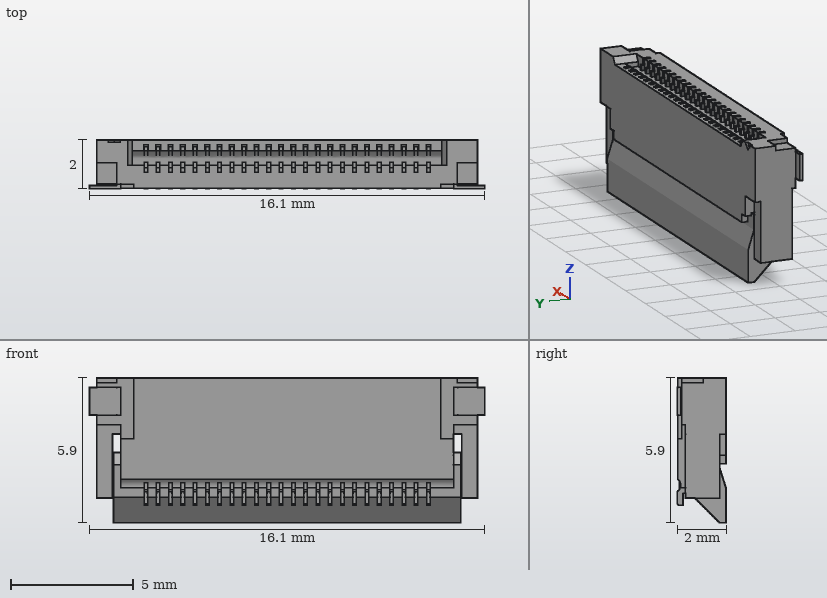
import cadquery as cq


housing_width = 15.5
core_width = 13.55
panel_width = 12.5
back_y = 2.0
panel_y = 0.024
shoulder_y = 0.2
wall_back_y = 0.48
panel_depth = 4.46
core_depth = 3.5
core_step_depth = 3.14
core_step_width = 12.88
shoulder_depth = 2.48
panel_end_depth = 4.12
hollow_middle = (0.137, 4.3)
hollow_bottom_y = 0.15

block_depth = 2.29
block_front_depth = 1.9
arm_inner_x = 7.1
arm_front_y = 0.34
arm_back_y = 1.74
arm_depth = 4.9
corner_notch_width = 0.82
corner_notch_back_y = 1.06
corner_notch_depth = 0.2

mark_x = -7.04
mark_width = 0.48
mark_depth = 0.24
mark_length = 0.1

mouth_width = 12.59
mouth_front_y = 0.97
mouth_bevel = 0.2
rim_depth = 0.29
rim_front_y = 1.55
mouth_floor_depth = 0.48
lead_in_end = (1.34, 0.47)

tab_span = 16.1
tab_width = 1.27
tab_thickness = 0.15
tab_top = 0.39
tab_bottom = 1.51
tab_stem_width = 0.16

flap_width = 14.14
flap_front_y = 0.68
flap_top_front_y = 1.19
flap_tip_y = 1.72
flap_top_depth = 3.03
flap_front_top = 3.55
flap_front_bottom = 4.85
flap_back_top = 3.67
flap_back_bottom = 4.49
flap_tip_depth = 5.9

contact_count = 24
contact_span = 11.5
contact_pitch = contact_span / (contact_count - 1)
contact_width = 0.15
contact_cell_width = 0.2
front_cell_y = 0.68
front_contact_y = 0.87
front_contact_back_y = 1.08
cell_depth = 0.47
contact_root_depth = 0.63
front_contact_depth = 0.25
rear_contact_y = 1.35
rear_contact_back_y = 1.72
rear_cell_back_y = 1.8
rear_contact_depth = 0.27

leg_top = 4.27
leg_underside = 4.7
leg_bottom = 5.18
leg_neck_y = 0.1
foot_back_y = 0.24
foot_bevel_top = 4.54
foot_bevel_bottom = 4.62
foot_chamfer = 0.06


def block(x_range, y_range, depth_range):
    """Box between two X values, two Y values and two depths."""
    (x0, x1), (y0, y1), (top, bottom) = x_range, y_range, depth_range
    return cq.Workplane("XY").box(x1 - x0, y1 - y0, bottom - top, centered=False).translate((x0, y0, -bottom))


def centered_block(width, y_range, depth_range, x=0):
    return block((x - width / 2, x + width / 2), y_range, depth_range)


def side_prism(points, width, x=0):
    """Extrude a (Y, depth) outline along X, centred on x."""
    outline = [(y, -depth) for y, depth in points]
    return cq.Workplane("YZ", origin=(x - width / 2, 0, 0)).polyline(outline).close().extrude(width)


def both_sides(solid):
    return solid.union(solid.mirror("YZ"))


def make_core():
    core = centered_block(core_width, (shoulder_y, back_y), (0, core_depth))
    front_wall = (
        cq.Workplane("YZ", origin=(-core_width / 2, 0, 0))
        .moveTo(wall_back_y, 0)
        .lineTo(panel_y, 0)
        .lineTo(panel_y, -panel_end_depth)
        .threePointArc((hollow_middle[0], -hollow_middle[1]), (hollow_bottom_y, -panel_depth))
        .lineTo(wall_back_y, -panel_depth)
        .close()
        .extrude(core_width)
    )
    step = both_sides(
        block((core_step_width / 2, core_width / 2), (wall_back_y, back_y), (core_step_depth, core_depth))
    )
    recess = both_sides(block((panel_width / 2, core_width / 2), (0, shoulder_y), (0, shoulder_depth)))
    return core.union(front_wall).cut(recess).cut(step)


def make_sides():
    outer_x = housing_width / 2
    upper = block((core_width / 2, outer_x), (shoulder_y, back_y), (0, block_depth))
    lower_step = block((core_width / 2, outer_x), (shoulder_y, arm_front_y), (block_front_depth, block_depth))
    arm = block((arm_inner_x, outer_x), (arm_front_y, arm_back_y), (0, arm_depth))
    notch = block(
        (outer_x - corner_notch_width, outer_x),
        (0, corner_notch_back_y),
        (0, corner_notch_depth),
    )
    return both_sides(upper.cut(lower_step).union(arm).cut(notch))


def make_tabs():
    tab_inner_x = tab_span / 2 - tab_width
    tab = block((tab_inner_x, tab_span / 2), (0, tab_thickness), (tab_top, tab_bottom))
    stem = block((tab_inner_x, tab_inner_x + tab_stem_width), (0, arm_front_y), (tab_top, tab_bottom))
    return both_sides(tab.union(stem))


def make_flap():
    return side_prism(
        [
            (flap_front_y, flap_front_top),
            (flap_front_y, flap_front_bottom),
            (flap_tip_y, flap_tip_depth),
            (back_y, flap_tip_depth),
            (back_y, flap_back_bottom),
            (arm_back_y, flap_back_top),
            (arm_back_y, flap_top_depth),
            (flap_top_front_y, flap_top_depth),
        ],
        flap_width,
    )


def mouth_cut():
    """Stepped mouth with sloped ends; its lead-in curves down from the rim and runs out into the floor."""
    half = mouth_width / 2
    floor = (
        cq.Workplane("YZ", origin=(-half, 0, 0))
        .moveTo(mouth_front_y, -mouth_floor_depth)
        .lineTo(mouth_front_y, 0)
        .lineTo(back_y, 0)
        .lineTo(back_y, -rim_depth)
        .lineTo(rim_front_y, -rim_depth)
        .spline(
            [(lead_in_end[0], -lead_in_end[1]), (mouth_front_y, -mouth_floor_depth)],
            tangents=[(-1, -1), (-1, 0)],
            includeCurrent=True,
        )
        .close()
        .extrude(mouth_width)
    )
    ends = (
        cq.Workplane("XZ", origin=(0, back_y, 0))
        .polyline([(-half - mouth_bevel, 0), (half + mouth_bevel, 0), (half, -rim_depth), (-half, -rim_depth)])
        .close()
        .extrude(back_y - mouth_front_y)
    )
    return floor.union(ends)


def mark_cut():
    return (
        cq.Workplane("XZ", origin=(mark_x, back_y, 0))
        .polyline([(-mark_width / 2, 0), (mark_width / 2, 0), (0, -mark_depth)])
        .close()
        .extrude(mark_length)
    )


def cell_cut(x):
    front = centered_block(contact_width, (front_cell_y, mouth_front_y), (0, cell_depth), x)
    rear = centered_block(contact_cell_width, (rim_front_y, rear_cell_back_y), (0, cell_depth), x)
    return front.union(rear)


def contact_ends(x):
    front = centered_block(
        contact_width, (front_contact_y, front_contact_back_y), (front_contact_depth, contact_root_depth), x
    )
    rear = side_prism(
        [
            (rear_contact_y, contact_root_depth),
            (rear_contact_y, cell_depth),
            (rim_front_y, rear_contact_depth),
            (rear_contact_back_y, rear_contact_depth),
            (rear_contact_back_y, contact_root_depth),
        ],
        contact_width,
        x,
    )
    return front.union(rear)


def solder_leg(x):
    return side_prism(
        [
            (leg_neck_y, leg_top),
            (leg_neck_y, foot_bevel_top),
            (0, foot_bevel_bottom),
            (0, leg_bottom - foot_chamfer),
            (foot_chamfer, leg_bottom),
            (foot_back_y, leg_bottom),
            (foot_back_y, leg_underside),
            (flap_front_y, leg_underside),
            (flap_front_y, leg_top),
        ],
        contact_width,
        x,
    )


result = make_core().union(make_sides()).union(make_tabs()).union(make_flap())
result = result.cut(mouth_cut()).cut(mark_cut())

cells = []
contacts = []
for i in range(contact_count):
    x = i * contact_pitch - contact_span / 2
    cells += cell_cut(x).vals()
    contacts += contact_ends(x).vals() + solder_leg(x).vals()
result = result.cut(cq.Compound.makeCompound(cells)).union(cq.Compound.makeCompound(contacts))